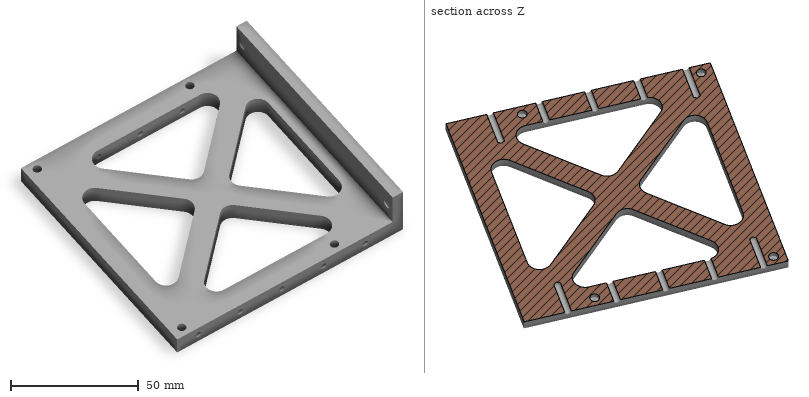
import cadquery as cq
import math

length = 108.0
width = 106.0
height = 23.0
plate_thickness = 8.0
flange_thickness = 5.0

border = 10.0
brace_width = 10.0
window_radius = 5.0

mount_diameter = 3.7
mount_depth = 6.0
hole_inset = 4.0
mount_front_offset = 5.0
mount_pitch = 73.0

flange_hole_diameter = 3.7
flange_hole_height = 15.0

side_hole_diameter = 2.6
side_hole_count = 5
side_hole_pitch = 20.0
side_hole_front_offset = 10.0
side_hole_depth = 15.0
drill_point_angle = 118.0

half_width = width / 2
half_length = length / 2
hole_x = half_width - hole_inset


def make_body():
    """L-shaped body: flat plate with a flange along its rear edge."""
    plate = cq.Workplane("XY").box(width, length, plate_thickness, centered=(True, True, False))
    flange = (
        cq.Workplane("XY")
        .box(width, flange_thickness, height, centered=(True, True, False))
        .translate((0, half_length - flange_thickness / 2, 0))
    )
    return plate.union(flange)


def make_windows():
    """Four rounded triangles left between two braces on the frame's diagonals."""
    half_x = half_width - border
    half_y = half_length - border
    diagonal = math.hypot(half_x, half_y)
    brace_x = brace_width / 2 * diagonal / half_y
    brace_y = brace_width / 2 * diagonal / half_x

    windows = cq.Workplane("XY")
    for side in (-1, 1):
        along_x = [
            (side * brace_x, 0),
            (side * half_x, half_y - brace_y),
            (side * half_x, brace_y - half_y),
        ]
        along_y = [
            (0, side * brace_y),
            (half_x - brace_x, side * half_y),
            (brace_x - half_x, side * half_y),
        ]
        for corners in (along_x, along_y):
            window = cq.Workplane("XY").polyline(corners).close().extrude(plate_thickness)
            windows = windows.add(window.edges("|Z").fillet(window_radius))
    return windows


def make_mount_holes():
    """Flat-bottomed holes near the long edges of the plate."""
    front_y = mount_front_offset - half_length
    centres = [(x, y) for x in (-hole_x, hole_x) for y in (front_y, front_y + mount_pitch)]
    return (
        cq.Workplane("XY", origin=(0, 0, plate_thickness))
        .pushPoints(centres)
        .circle(mount_diameter / 2)
        .extrude(-mount_depth)
    )


def make_flange_holes():
    """Holes through the flange near its two ends."""
    return (
        cq.Workplane("XZ", origin=(0, half_length, 0))
        .pushPoints([(-hole_x, flange_hole_height), (hole_x, flange_hole_height)])
        .circle(flange_hole_diameter / 2)
        .extrude(flange_thickness)
    )


def make_side_holes():
    """Rows of drilled holes entering the plate from its left and right sides."""
    radius = side_hole_diameter / 2
    tip_length = radius / math.tan(math.radians(drill_point_angle / 2))
    holes = cq.Workplane("XY")
    for side in (-1, 1):
        inward = cq.Vector(-side, 0, 0)
        for index in range(side_hole_count):
            y = side_hole_front_offset + index * side_hole_pitch - half_length
            entry = cq.Vector(side * half_width, y, plate_thickness / 2)
            bore_end = entry + inward * side_hole_depth
            holes = holes.add(cq.Solid.makeCylinder(radius, side_hole_depth, entry, inward))
            holes = holes.add(cq.Solid.makeCone(radius, 0, tip_length, bore_end, inward))
    return holes


result = make_body()
for cutters in (make_windows(), make_mount_holes(), make_flange_holes(), make_side_holes()):
    for cutter in cutters.vals():
        result = result.cut(cq.Workplane(cutter))